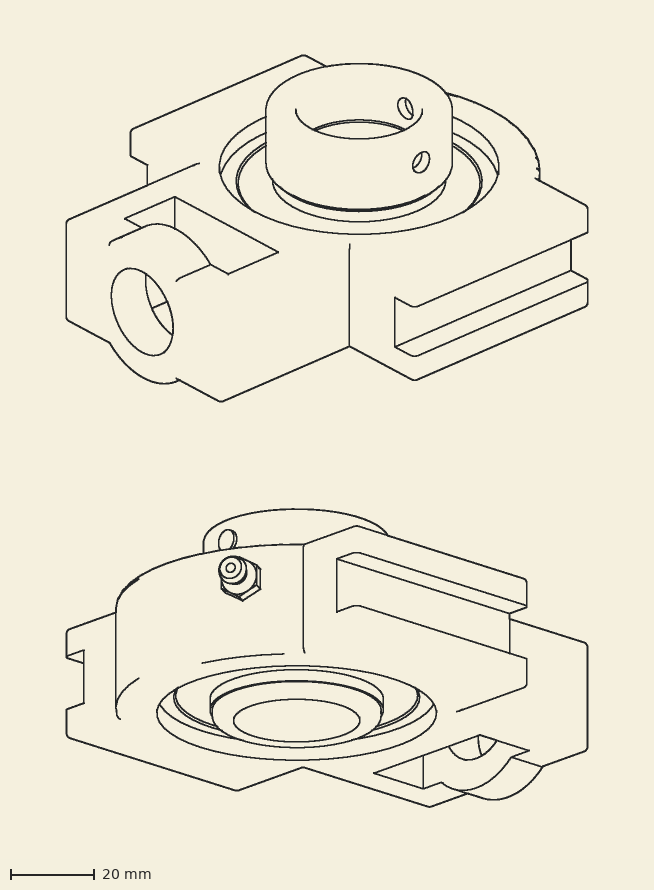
import cadquery as cq
import math


PLATE_WIDTH = 102.0
PLATE_THICKNESS = 27.7
FLANGE_HALF_LENGTH = 28.3
CROWN_RADIUS = 43.1
LEG_WIDTH = 55.9
LEG_END = 69.7
EDGE_FILLET = 1.3
FLANGE_CORNER_FILLET = 1.4

RAIL_DEPTH = 6.9
RAIL_HEIGHT = 13.5
SLOT_WIDTH = 36.9
SLOT_NEAR_END = 42.5
SLOT_FAR_END = 58.7
BOSS_DIAMETER = 36.9
BOSS_HOLE_DIAMETER = 22.0

OUTER_RING_DIAMETER = 66.7
OUTER_RING_BORE = 57.7
OUTER_RING_FACE = 9.9
OUTER_RING_FILLET = 0.9
OUTER_RING_CHAMFER = 0.5
SEAL_FLAT_DIAMETER = 55.9
SEAL_THICKNESS = 1.2
SEAL_RISE = 0.8
INNER_RING_DIAMETER = 40.3
INNER_RING_BOTTOM = -15.8
INNER_RING_TOP = 18.4
INNER_RING_SHOULDER_DIAMETER = 41.4
INNER_RING_SHOULDER = 13.1
INNER_RING_TOP_CHAMFER = 0.6
INNER_RING_FILLET = 1.3
SHAFT_DIAMETER = 30.2

COLLAR_DIAMETER = 44.5
COLLAR_BOTTOM = 14.1
COLLAR_TOP = 30.2
COLLAR_FILLET = 0.9
SCREW_DIAMETER = 5.4
SCREW_BELOW_TOP = 6.0
SCREW_INNER_END = 17.3
SCREW_OUTER_END = 23.0
SPANNER_HOLE_DEPTH = 2.9

NIPPLE_ANGLE = 29.5
NIPPLE_HEIGHT = 4.9
NIPPLE_HEX_FLATS = 8.8
NIPPLE_HEX_BOTTOM = 42.3
NIPPLE_HEX_TOP = 46.0
NIPPLE_SHOULDER_TOP = 47.8
NIPPLE_SHOULDER_DIAMETER = 6.0
NIPPLE_STEP_TOP = 48.4
NIPPLE_NECK_DIAMETER = 5.4
NIPPLE_NECK_TOP = 49.2
NIPPLE_HEAD_DIAMETER = 6.7
NIPPLE_HEAD_WIDEST = 50.7
NIPPLE_TIP = 52.7
NIPPLE_TIP_DIAMETER = 5.4
NIPPLE_DOME_MID_DIAMETER = 6.4
NIPPLE_DOME_MID = 51.9
NIPPLE_BALL_DIAMETER = 2.5
NIPPLE_BALL_CENTER = 52.2


def cylinder(diameter, bottom, top):
    """A cylinder on the bearing axis between two heights."""
    return cq.Workplane("XY").workplane(offset=bottom).circle(diameter / 2).extrude(top - bottom)


def radial_cylinder_y(diameter, start, end, height):
    """A cylinder that points along +Y at a given height."""
    profile = cq.Workplane("XZ", origin=(0, start, height)).circle(diameter / 2)
    return profile.extrude(start - end)


def make_plate():
    """T-shaped plate with a round crown and rounded outer edges."""
    half_width = PLATE_WIDTH / 2
    half_leg = LEG_WIDTH / 2
    crown_x = math.sqrt(CROWN_RADIUS**2 - FLANGE_HALF_LENGTH**2)
    plate = (
        cq.Workplane("XY")
        .workplane(offset=-PLATE_THICKNESS / 2)
        .moveTo(-crown_x, FLANGE_HALF_LENGTH)
        .threePointArc((0, CROWN_RADIUS), (crown_x, FLANGE_HALF_LENGTH))
        .lineTo(half_width, FLANGE_HALF_LENGTH)
        .lineTo(half_width, -FLANGE_HALF_LENGTH)
        .lineTo(half_leg, -FLANGE_HALF_LENGTH)
        .lineTo(half_leg, -LEG_END)
        .lineTo(-half_leg, -LEG_END)
        .lineTo(-half_leg, -FLANGE_HALF_LENGTH)
        .lineTo(-half_width, -FLANGE_HALF_LENGTH)
        .lineTo(-half_width, FLANGE_HALF_LENGTH)
        .close()
        .extrude(PLATE_THICKNESS)
    )
    plate = plate.edges("|Z and (<X or >X)").fillet(FLANGE_CORNER_FILLET)
    plate = plate.edges("|Z and <Y").fillet(EDGE_FILLET)
    return plate.faces("<Z or >Z").edges().fillet(EDGE_FILLET)


def make_housing():
    """Plate with the adjuster boss, slot, side rails and bearing seat."""
    boss = (
        cq.Workplane("XZ", origin=(0, -SLOT_FAR_END, 0))
        .circle(BOSS_DIAMETER / 2)
        .extrude(LEG_END - SLOT_FAR_END)
        .faces("<Y")
        .edges()
        .fillet(EDGE_FILLET)
    )
    slot_length = SLOT_FAR_END - SLOT_NEAR_END
    slot = cq.Workplane("XY").box(SLOT_WIDTH, slot_length, PLATE_THICKNESS)
    slot = slot.translate((0, -(SLOT_NEAR_END + SLOT_FAR_END) / 2, 0))
    boss_hole = radial_cylinder_y(BOSS_HOLE_DIAMETER, -LEG_END, -SLOT_FAR_END, 0)
    housing = make_plate().union(boss).cut(slot).cut(boss_hole)
    for side in (-1, 1):
        rail = cq.Workplane("XY").box(RAIL_DEPTH, 2 * FLANGE_HALF_LENGTH, RAIL_HEIGHT)
        housing = housing.cut(rail.translate((side * (PLATE_WIDTH - RAIL_DEPTH) / 2, 0, 0)))
    return housing.cut(cylinder(OUTER_RING_DIAMETER, -PLATE_THICKNESS / 2, PLATE_THICKNESS / 2))


def make_outer_ring():
    """Ring with rounded outer edges and a chamfered bore."""
    ring = cylinder(OUTER_RING_DIAMETER, -OUTER_RING_FACE, OUTER_RING_FACE)
    ring = ring.edges().fillet(OUTER_RING_FILLET)
    ring = ring.cut(cylinder(OUTER_RING_BORE, -OUTER_RING_FACE, OUTER_RING_FACE))
    bore_edges = cq.selectors.RadiusNthSelector(0)
    return ring.faces("<Z or >Z").edges(bore_edges).chamfer(OUTER_RING_CHAMFER)


def make_seal(side):
    """Slightly coned annular shield; side is +1 for the top and -1 for the bottom."""
    outer = OUTER_RING_BORE / 2
    inner = INNER_RING_SHOULDER_DIAMETER / 2
    edge = OUTER_RING_FACE - OUTER_RING_CHAMFER
    return (
        cq.Workplane("XZ")
        .moveTo(outer, side * (edge - SEAL_THICKNESS))
        .lineTo(outer, side * edge)
        .lineTo(SEAL_FLAT_DIAMETER / 2, side * edge)
        .lineTo(inner, side * (edge + SEAL_RISE))
        .lineTo(inner, side * (edge - SEAL_THICKNESS))
        .close()
        .revolve(360, (0, 0, 0), (0, 1, 0))
    )


def make_inner_ring():
    """Shouldered sleeve that reaches below the housing and up into the collar."""
    ring = cylinder(INNER_RING_DIAMETER, INNER_RING_BOTTOM, INNER_RING_TOP)
    ring = ring.faces("<Z").edges().fillet(INNER_RING_FILLET)
    ring = ring.union(cylinder(INNER_RING_SHOULDER_DIAMETER, -INNER_RING_SHOULDER, INNER_RING_SHOULDER))
    ring = ring.cut(cylinder(SHAFT_DIAMETER, INNER_RING_BOTTOM, INNER_RING_TOP))
    bore_edge = cq.selectors.RadiusNthSelector(0)
    return ring.faces(">Z").edges(bore_edge).chamfer(INNER_RING_TOP_CHAMFER)


def make_screw():
    """Plain set screw that stands slightly proud of the collar on the +Y side."""
    height = COLLAR_TOP - SCREW_BELOW_TOP
    return radial_cylinder_y(SCREW_DIAMETER, SCREW_INNER_END, SCREW_OUTER_END, height)


def make_collar():
    """Locking collar, counterbored for the inner ring, with screw and spanner holes."""
    height = COLLAR_TOP - SCREW_BELOW_TOP
    collar = cylinder(COLLAR_DIAMETER, COLLAR_BOTTOM, COLLAR_TOP).edges().fillet(COLLAR_FILLET)
    collar = collar.cut(cylinder(SHAFT_DIAMETER, COLLAR_BOTTOM, COLLAR_TOP))
    bore_edge = cq.selectors.RadiusNthSelector(0)
    collar = collar.faces(">Z").edges(bore_edge).fillet(COLLAR_FILLET)
    collar = collar.cut(cylinder(INNER_RING_DIAMETER, COLLAR_BOTTOM, INNER_RING_TOP))
    collar = collar.cut(radial_cylinder_y(SCREW_DIAMETER, 0, COLLAR_DIAMETER / 2, height))
    spanner_start = COLLAR_DIAMETER / 2 - SPANNER_HOLE_DEPTH
    spanner_hole = (
        cq.Workplane("YZ", origin=(spanner_start, 0, height))
        .circle(SCREW_DIAMETER / 2)
        .extrude(SPANNER_HOLE_DEPTH)
    )
    return collar.cut(spanner_hole)


def make_nipple():
    """Hexagon-based grease nipple with a necked head and a ball end, set at an angle on the crown."""
    hex_base = (
        cq.Workplane("XY")
        .workplane(offset=NIPPLE_HEX_BOTTOM)
        .polygon(6, NIPPLE_HEX_FLATS, circumscribed=True)
        .extrude(NIPPLE_HEX_TOP - NIPPLE_HEX_BOTTOM)
    )
    head = (
        cq.Workplane("XZ")
        .moveTo(0, NIPPLE_HEX_BOTTOM)
        .lineTo(NIPPLE_HEX_FLATS / 2, NIPPLE_HEX_BOTTOM)
        .lineTo(NIPPLE_HEX_FLATS / 2, NIPPLE_HEX_TOP)
        .lineTo(NIPPLE_SHOULDER_DIAMETER / 2, NIPPLE_SHOULDER_TOP)
        .lineTo(NIPPLE_NECK_DIAMETER / 2, NIPPLE_STEP_TOP)
        .lineTo(NIPPLE_NECK_DIAMETER / 2, NIPPLE_NECK_TOP)
        .lineTo(NIPPLE_HEAD_DIAMETER / 2, NIPPLE_HEAD_WIDEST)
        .threePointArc(
            (NIPPLE_DOME_MID_DIAMETER / 2, NIPPLE_DOME_MID),
            (NIPPLE_TIP_DIAMETER / 2, NIPPLE_TIP),
        )
        .lineTo(0, NIPPLE_TIP)
        .close()
        .revolve(360, (0, 0, 0), (0, 1, 0))
    )
    ball = cq.Workplane("XY").sphere(NIPPLE_BALL_DIAMETER / 2).translate((0, 0, NIPPLE_BALL_CENTER))
    nipple = hex_base.union(head).union(ball)
    nipple = nipple.rotate((0, 0, 0), (1, 0, 0), -90)
    nipple = nipple.rotate((0, 0, 0), (0, 0, 1), NIPPLE_ANGLE)
    return nipple.translate((0, 0, NIPPLE_HEIGHT))


nipple = make_nipple()
housing = make_housing().cut(nipple)
outer_ring = make_outer_ring()
inner_ring = make_inner_ring()
seals = [make_seal(side) for side in (1, -1)]
collar = make_collar()
screw = make_screw()

result = cq.Compound.makeCompound(
    [
        housing.val(),
        outer_ring.val(),
        inner_ring.val(),
        *[seal.val() for seal in seals],
        collar.val(),
        screw.val(),
        nipple.val(),
    ]
)